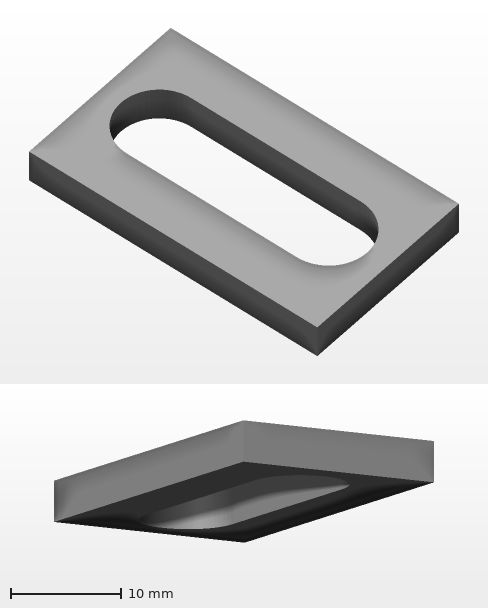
import cadquery as cq

plate_length = 34.0
plate_width = 20.0
plate_thickness = 3.8

slot_length = 29.0
slot_width = 9.0

plate = cq.Workplane("XY").box(plate_length, plate_width, plate_thickness)

result = plate.faces(">Z").workplane().slot2D(slot_length, slot_width).cutThruAll()